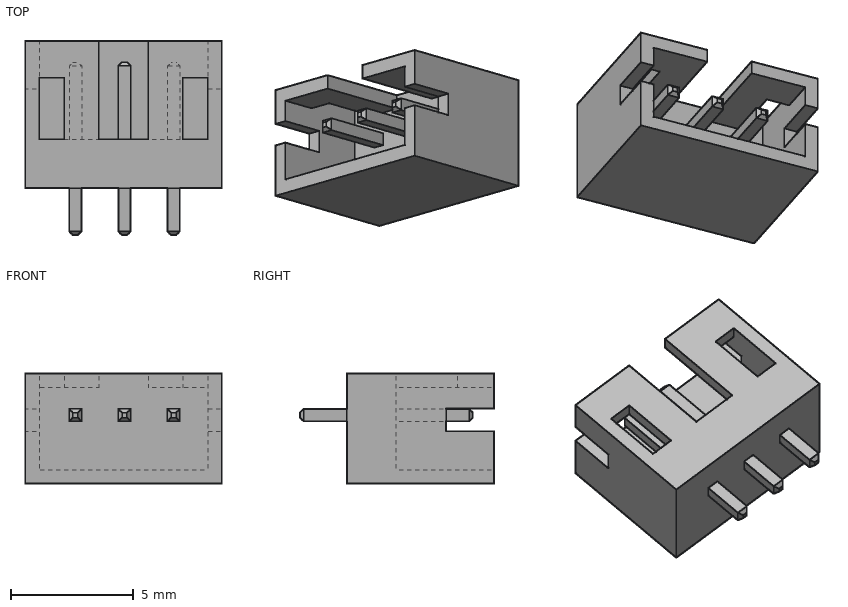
import cadquery as cq

width = 8.0
depth = 6.0
height = 4.5
wall = 0.58
base_thickness = 2.0
cavity_depth = depth - base_thickness

key_slot_width = 2.0
window_width = 1.01
window_length = 2.49
notch_depth = 1.95
notch_bottom = 2.14
notch_top = 3.06

pin_count = 3
pin_pitch = 2.0
pin_size = 0.5
pin_offset_x = 0.04
pin_center_z = 2.79
pin_front = -1.91
pin_back = 5.14
pin_chamfer = 0.15


def box(x_min, y_min, z_min, x_size, y_size, z_size):
    """Box placed by its minimum corner."""
    block = cq.Workplane("XY").box(x_size, y_size, z_size, centered=False)
    return block.translate((x_min, y_min, z_min))


def make_housing():
    housing = box(-width / 2, 0, 0, width, depth, height)
    inner_width = width - 2 * wall
    cavity = box(-inner_width / 2, base_thickness, wall, inner_width, cavity_depth, height - 2 * wall)
    roof_z = height - wall
    key_slot = box(-key_slot_width / 2, base_thickness, roof_z, key_slot_width, cavity_depth, wall)
    notch = box(-width / 2, depth - notch_depth, notch_bottom, width, notch_depth, notch_top - notch_bottom)
    housing = housing.cut(cavity).cut(key_slot).cut(notch)
    for window_x in (-inner_width / 2, inner_width / 2 - window_width):
        window = box(window_x, base_thickness, roof_z, window_width, window_length, wall)
        housing = housing.cut(window)
    return housing


def make_pin(center_x):
    """Square pin along Y with chamfered tips at both ends."""
    pin = box(
        center_x - pin_size / 2, pin_front, pin_center_z - pin_size / 2,
        pin_size, pin_back - pin_front, pin_size,
    )
    return pin.faces("<Y or >Y").chamfer(pin_chamfer)


result = make_housing()
for index in range(pin_count):
    pin_x = pin_offset_x + (index - (pin_count - 1) / 2) * pin_pitch
    result = result.union(make_pin(pin_x))